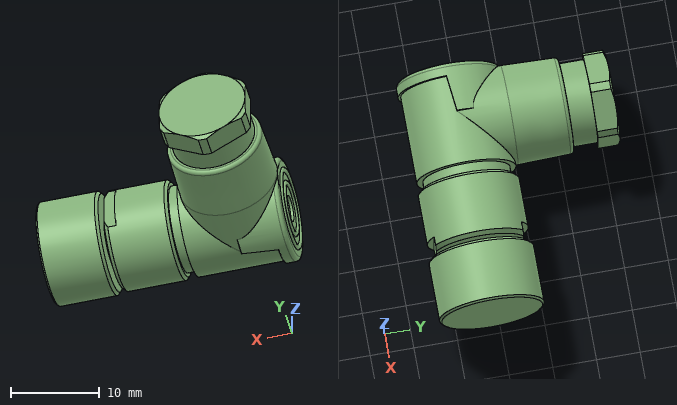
import cadquery as cq
import math


body_radius = 11.4 / 2
body_end_x = 11.98
branch_x = 5.95

cap_radius = 12.0 / 2
ridge_height = 0.25
cap_face_x = ridge_height
cap_fillet = 0.5
cap_rim_end_x = 1.8
tongue_slope_drop = 0.45
ridge_width = 0.65
ridge_outer_radii = [4.77, 3.27]
center_recess_radius = 1.5
center_recess_depth = 0.35
face_point_half_width = 2.25

neck_radius = 5.0
sleeve_start_x = 13.15
sleeve_radius = 5.8
sleeve_end_x = 20.68
sleeve_lead_chamfer = 0.35
sleeve_end_chamfer = 0.45
flat_length = 1.42
flat_spacing = 10.0
stem_radius = 6.0 / 2
nut_start_x = 21.2
nut_radius = cap_radius
nut_lead_chamfer = 0.35
nut_end_chamfer = 0.23
total_length = 28.4

taper_start_y = 5.95
shoulder_y = 12.47
shoulder_radius = 5.5
shoulder_fillet = 0.45
gland_neck_radius = 4.77
hex_start_y = 15.25
total_width = 23.8
hex_end_y = total_width - cap_radius
hex_across_flats = 10.0
hex_corner_radius = 5.5
hex_chamfer_length = 0.25


def ring(start_x, end_x, radius, start_chamfer=0.0, end_chamfer=0.0):
    """Cylinder along the main axis with optional 45 degree end chamfers."""
    solid = cq.Workplane("YZ", origin=(start_x, 0, 0)).circle(radius).extrude(end_x - start_x)
    if start_chamfer:
        solid = solid.faces("<X").chamfer(start_chamfer)
    if end_chamfer:
        solid = solid.faces(">X").chamfer(end_chamfer)
    return solid


def branch_turned(points):
    """Solid turned about the branch axis from (radius, y) points."""
    profile = cq.Workplane("XY", origin=(branch_x, 0, 0)).polyline(points).close()
    return profile.revolve(360, (0, 0, 0), (0, 1, 0))


def make_cap():
    disc = ring(cap_face_x, branch_x, cap_radius).faces("<X").edges().fillet(cap_fillet)
    plan = (
        cq.Workplane("XY", origin=(0, 0, -cap_radius))
        .moveTo(0, -cap_radius)
        .lineTo(cap_rim_end_x, -cap_radius)
        .lineTo(cap_rim_end_x, -tongue_slope_drop)
        .lineTo(branch_x, 0)
        .lineTo(branch_x, cap_radius)
        .lineTo(0, cap_radius)
        .close()
        .extrude(2 * cap_radius)
    )
    return disc.intersect(plan)


def make_face_point():
    """Flat triangle that carries the cap face across its rounded edge to the branch."""
    face_radius = cap_radius - cap_fillet
    base_y = math.sqrt(face_radius**2 - face_point_half_width**2)
    return (
        cq.Workplane("YZ", origin=(cap_face_x, 0, 0))
        .moveTo(base_y, -face_point_half_width)
        .lineTo(taper_start_y, 0)
        .lineTo(base_y, face_point_half_width)
        .close()
        .extrude(cap_fillet)
    )


def make_ridge(outer_radius):
    """Rounded ring standing on the cap face."""
    inner_radius = outer_radius - ridge_width
    root_x = cap_face_x + ridge_height
    return (
        cq.Workplane("XY")
        .moveTo(root_x, inner_radius)
        .lineTo(cap_face_x, inner_radius)
        .threePointArc((0, (inner_radius + outer_radius) / 2), (cap_face_x, outer_radius))
        .lineTo(root_x, outer_radius)
        .close()
        .revolve(360, (0, 0, 0), (1, 0, 0))
    )


def make_sleeve():
    sleeve = ring(sleeve_start_x, sleeve_end_x, sleeve_radius, sleeve_lead_chamfer, sleeve_end_chamfer)
    flat_zone = cq.Workplane("XY").box(flat_length, flat_spacing, 2 * sleeve_radius)
    flat_zone = flat_zone.translate((sleeve_end_x - flat_length / 2, 0, 0))
    full_zone = ring(sleeve_start_x, sleeve_end_x - flat_length, sleeve_radius)
    return sleeve.intersect(full_zone.union(flat_zone))


def make_branch():
    shell = branch_turned(
        [
            (0, 0),
            (body_radius, 0),
            (body_radius, taper_start_y),
            (shoulder_radius, shoulder_y),
            (0, shoulder_y),
        ]
    )
    shell = shell.faces(">Y").edges().fillet(shoulder_fillet)
    gland_neck = branch_turned(
        [
            (0, taper_start_y),
            (gland_neck_radius, taper_start_y),
            (gland_neck_radius, hex_start_y),
            (0, hex_start_y),
        ]
    )
    return shell.union(gland_neck)


def make_hex_head():
    corner_distance = hex_across_flats / math.cos(math.pi / 6)
    head = (
        cq.Workplane("XZ", origin=(branch_x, hex_start_y, 0))
        .transformed(rotate=(0, 0, 90))
        .polygon(6, corner_distance)
        .extrude(-(hex_end_y - hex_start_y))
    )
    envelope = branch_turned(
        [
            (0, hex_start_y),
            (hex_corner_radius, hex_start_y),
            (hex_corner_radius, hex_end_y - hex_chamfer_length),
            (hex_across_flats / 2, hex_end_y),
            (0, hex_end_y),
        ]
    )
    return head.intersect(envelope)


result = ring(cap_rim_end_x, body_end_x, body_radius)
result = result.union(make_branch())
result = result.union(make_cap())
result = result.union(make_face_point())
for ridge_outer_radius in ridge_outer_radii:
    result = result.union(make_ridge(ridge_outer_radius))
result = result.cut(ring(cap_face_x, cap_face_x + center_recess_depth, center_recess_radius))

result = result.union(ring(body_end_x, sleeve_start_x, neck_radius))
result = result.union(make_sleeve())
result = result.union(ring(sleeve_end_x, nut_start_x, stem_radius))
result = result.union(ring(nut_start_x, total_length, nut_radius, nut_lead_chamfer, nut_end_chamfer))
result = result.union(make_hex_head())